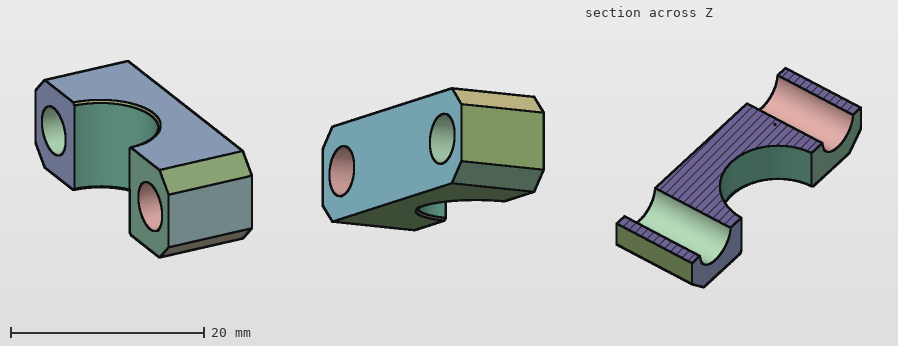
import cadquery as cq

length = 29.0
height = 10.0
back_distance = 10.0
split_gap = 0.2
corner_chamfer = 2.0

bore_diameter = 12.0
bore_chamfer = 0.25

bolt_hole_diameter = 5.2
bolt_spacing = 21.0

depth = back_distance - split_gap
bore_radius = bore_diameter / 2


def make_block():
    """Rectangular block with its four long Y edges chamfered."""
    block = cq.Workplane("XY").box(length, depth, height)
    block = block.edges("|Y").chamfer(corner_chamfer)
    return block.translate((0, split_gap + depth / 2, 0))


def make_bore():
    """Bore cutter, flared by a 45 degree chamfer at both ends."""
    half_height = height / 2
    flared_radius = bore_radius + bore_chamfer
    profile = (
        cq.Workplane("XZ")
        .moveTo(0, -half_height)
        .lineTo(flared_radius, -half_height)
        .lineTo(bore_radius, -half_height + bore_chamfer)
        .lineTo(bore_radius, half_height - bore_chamfer)
        .lineTo(flared_radius, half_height)
        .lineTo(0, half_height)
        .close()
    )
    return profile.revolve(360, (0, 0, 0), (0, 1, 0))


def make_bolt_holes():
    """Two through holes along Y, one on each side of the bore."""
    return (
        cq.Workplane("XZ")
        .pushPoints([(-bolt_spacing / 2, 0), (bolt_spacing / 2, 0)])
        .circle(bolt_hole_diameter / 2)
        .extrude(-back_distance)
    )


result = make_block().cut(make_bore()).cut(make_bolt_holes())